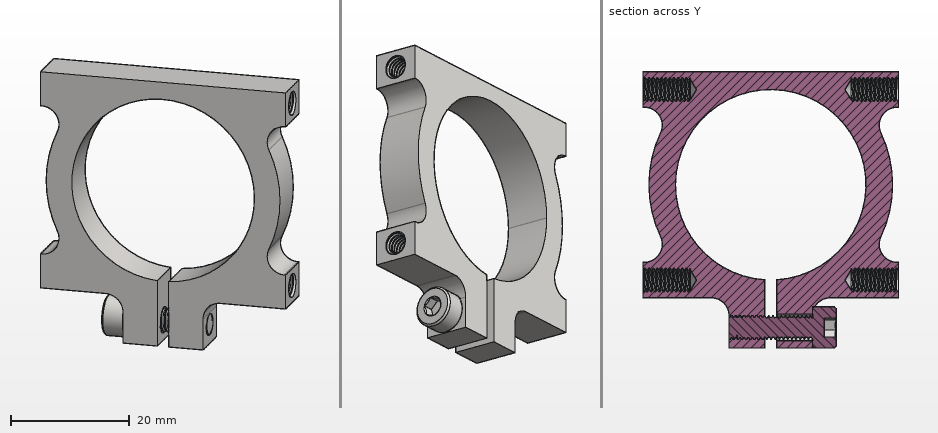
import cadquery as cq
import math

THICKNESS = 8.0
WIDTH = 43.0
HALF_WIDTH = WIDTH / 2
HALF_HEIGHT = 19.0
BLOCK_AND_TABS = 46.5
BORE_RADIUS = 16.0
RING_RADIUS = 20.5
LUG_HEIGHT = 6.0
FILLET_RADIUS = LUG_HEIGHT / 2
SLOT_WIDTH = 2.0
TAB_HALF_WIDTH = 7.0
TAB_BOTTOM = HALF_HEIGHT - BLOCK_AND_TABS

THREAD_RADIUS = 2.0
THREAD_DEPTH = 0.33
THREAD_PITCH = 0.7
CREST_WIDTH = 0.1
FLANK_ANGLE = 30.0
ROOT_OVERLAP = 0.1
CORE_RADIUS = THREAD_RADIUS - THREAD_DEPTH

HOLE_DEPTH = 8.0
COUNTERSINK_RADIUS = 2.05
HOLE_HEIGHT = HALF_HEIGHT - LUG_HEIGHT / 2
DRILL_POINT_ANGLE = 118.0

HEAD_RADIUS = 3.5
HEAD_LENGTH = 4.0
HEAD_CHAMFER = 0.33
HEAD_UNDER_CHAMFER = 0.3
SOCKET_ACROSS_FLATS = 3.0
SOCKET_DEPTH = 2.0
SOCKET_TURN = 15.0
CLEARANCE_RADIUS = 2.25
SCREW_HEIGHT = TAB_BOTTOM + HEAD_RADIUS


def thread_ridge(length):
    """Helical ridge around +Z, running past both ends of 0..length."""
    root_radius = CORE_RADIUS - ROOT_OVERLAP
    half_crest = CREST_WIDTH / 2
    half_root = half_crest + (THREAD_DEPTH + ROOT_OVERLAP) * math.tan(math.radians(FLANK_ANGLE))
    helix = cq.Wire.makeHelix(THREAD_PITCH, length + 2 * THREAD_PITCH, CORE_RADIUS)
    profile = cq.Workplane("XZ").polyline([
        (root_radius, -half_root),
        (THREAD_RADIUS, -half_crest),
        (THREAD_RADIUS, half_crest),
        (root_radius, half_root),
    ]).close()
    ridge = profile.sweep(cq.Workplane(helix), isFrenet=True)
    return ridge.translate((0, 0, -THREAD_PITCH))


def threaded_rod(length):
    """Threaded rod along +X from the origin, cut square at both ends."""
    overrun = 3 * THREAD_PITCH
    core = (cq.Workplane("XY", origin=(0, 0, -overrun))
            .circle(CORE_RADIUS).extrude(length + 2 * overrun))
    envelope = cq.Workplane("XY").circle(2 * THREAD_RADIUS).extrude(length)
    rod = core.union(thread_ridge(length), clean=False).intersect(envelope, clean=False)
    return rod.rotate((0, 0, 0), (0, 1, 0), 90)


def rod_along_x(radius, start, end):
    """Plain cylinder on the screw axis between two X positions."""
    return (cq.Workplane("YZ", origin=(start, 0, SCREW_HEIGHT))
            .circle(radius).extrude(end - start))


def cone_along_x(radius, length, start):
    """Cone on the X axis with its base at start and its tip toward +X."""
    return cq.Workplane(cq.Solid.makeCone(
        radius, 0, length, pnt=cq.Vector(start, 0, 0), dir=cq.Vector(1, 0, 0)))


def block_outline():
    """Outer outline of the clamp, symmetric about the Z axis."""
    lug_edge = HALF_HEIGHT - LUG_HEIGHT
    fillet_z = lug_edge - FILLET_RADIUS
    center_distance = RING_RADIUS + FILLET_RADIUS
    fillet_x = math.sqrt(center_distance ** 2 - fillet_z ** 2)
    touch_x = fillet_x * RING_RADIUS / center_distance
    touch_z = fillet_z * RING_RADIUS / center_distance
    middle_turn = (math.radians(90) + math.atan2(touch_z - fillet_z, touch_x - fillet_x)
                   + math.radians(360)) / 2
    middle_x = fillet_x + FILLET_RADIUS * math.cos(middle_turn)
    middle_z = fillet_z + FILLET_RADIUS * math.sin(middle_turn)
    half = (cq.Workplane("XZ", origin=(0, THICKNESS / 2, 0))
            .moveTo(0, HALF_HEIGHT)
            .lineTo(HALF_WIDTH, HALF_HEIGHT)
            .lineTo(HALF_WIDTH, lug_edge)
            .lineTo(fillet_x, lug_edge)
            .threePointArc((middle_x, middle_z), (touch_x, touch_z))
            .threePointArc((RING_RADIUS, 0), (touch_x, -touch_z))
            .threePointArc((middle_x, -middle_z), (fillet_x, -lug_edge))
            .lineTo(HALF_WIDTH, -lug_edge)
            .lineTo(HALF_WIDTH, -HALF_HEIGHT)
            .lineTo(TAB_HALF_WIDTH + FILLET_RADIUS, -HALF_HEIGHT)
            .radiusArc((TAB_HALF_WIDTH, -HALF_HEIGHT - FILLET_RADIUS), -FILLET_RADIUS)
            .lineTo(TAB_HALF_WIDTH, TAB_BOTTOM)
            .lineTo(0, TAB_BOTTOM))
    return half.mirrorY()


def tapped_hole():
    """Cutter for one tapped hole, running along +X from its mouth at the origin."""
    point_length = CORE_RADIUS / math.tan(math.radians(DRILL_POINT_ANGLE / 2))
    point = cone_along_x(CORE_RADIUS, point_length, HOLE_DEPTH)
    return threaded_rod(HOLE_DEPTH).union(point, clean=False)


def screw_shank():
    """Threaded shank, from under the head to the far face of the other tab."""
    return threaded_rod(2 * TAB_HALF_WIDTH).translate((-TAB_HALF_WIDTH, 0, SCREW_HEIGHT))


def make_screw(shank):
    """Socket head cap screw lying along X."""
    head_start = -TAB_HALF_WIDTH - HEAD_LENGTH
    head = rod_along_x(HEAD_RADIUS, head_start, -TAB_HALF_WIDTH)
    head = head.faces("<X").chamfer(HEAD_CHAMFER)
    head = head.faces(">X").chamfer(HEAD_UNDER_CHAMFER)

    across_corners = SOCKET_ACROSS_FLATS / math.cos(math.radians(30))
    socket = (cq.Workplane("YZ", origin=(head_start, 0, SCREW_HEIGHT))
              .transformed(rotate=(0, 0, SOCKET_TURN))
              .polygon(6, across_corners).extrude(SOCKET_DEPTH))
    mouth_radius = across_corners / 2
    countersink = cone_along_x(mouth_radius, mouth_radius, head_start).translate((0, 0, SCREW_HEIGHT))
    return head.cut(socket).cut(countersink).union(shank, clean=False)


def make_clamp(shank):
    """Split clamp block with its bore, slot, screw hole and tapped side holes."""
    clamp = block_outline().extrude(THICKNESS)
    bore = cq.Workplane("XZ", origin=(0, THICKNESS / 2, 0)).circle(BORE_RADIUS).extrude(THICKNESS)
    slot = (cq.Workplane("XY", origin=(0, 0, TAB_BOTTOM))
            .rect(SLOT_WIDTH, THICKNESS).extrude(-TAB_BOTTOM))
    clamp = clamp.cut(bore).cut(slot)

    clearance = rod_along_x(CLEARANCE_RADIUS, -TAB_HALF_WIDTH, 0)
    head_seat = rod_along_x(HEAD_RADIUS, -TAB_HALF_WIDTH - HEAD_LENGTH, -TAB_HALF_WIDTH)
    clamp = clamp.cut(head_seat).cut(clearance).cut(shank, clean=False)

    hole = tapped_hole().translate((-HALF_WIDTH, 0, 0))
    countersink = cone_along_x(COUNTERSINK_RADIUS, COUNTERSINK_RADIUS, -HALF_WIDTH)
    for side_turn in (0, 180):
        for height in (-HOLE_HEIGHT, HOLE_HEIGHT):
            for cutter in (countersink, hole):
                placed = cutter.rotate((0, 0, 0), (0, 0, 1), side_turn).translate((0, 0, height))
                clamp = clamp.cut(placed, clean=False)
    return clamp


shank = screw_shank()
clamp = make_clamp(shank)
screw = make_screw(shank)
result = cq.Compound.makeCompound([clamp.val(), screw.val()])